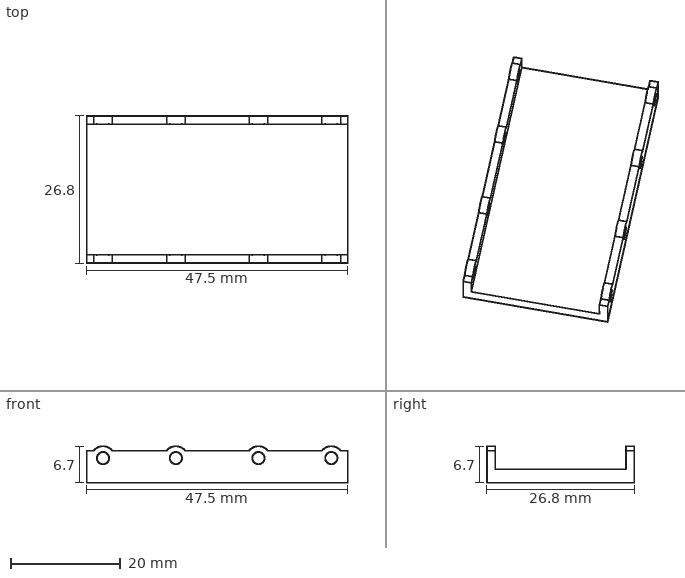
import cadquery as cq

length = 47.5
width = 26.8
height = 6.7

base_thickness = 2.5
wall_thickness = 1.5
wall_top = 5.9

hole_diameter = 2.2
lug_radius = 2.2
hole_height = height - lug_radius
end_hole_inset = 3.0
end_to_inner_hole = 13.25

outer_hole_x = length / 2 - end_hole_inset
inner_hole_x = outer_hole_x - end_to_inner_hole
hole_positions = [
    (x, hole_height) for x in (-outer_hole_x, -inner_hole_x, inner_hole_x, outer_hole_x)
]


def make_base():
    """Flat plate resting on Z = 0, centred in X and Y."""
    return cq.Workplane("XY").box(length, width, base_thickness, centered=(True, True, False))


def make_wall(outer_y, inner_y):
    """Long wall between two Y positions, with lugs rising above its top edge and holes through it."""
    plane = cq.Workplane("XZ", origin=(0, outer_y, 0))
    depth = outer_y - inner_y
    wall = (
        plane.center(0, (base_thickness + wall_top) / 2)
        .rect(length, wall_top - base_thickness)
        .extrude(depth)
    )
    lugs = plane.pushPoints(hole_positions).circle(lug_radius).extrude(depth)
    holes = plane.pushPoints(hole_positions).circle(hole_diameter / 2).extrude(depth)
    return wall.union(lugs).cut(holes)


front_wall = make_wall(-width / 2, -width / 2 + wall_thickness)
back_wall = make_wall(width / 2, width / 2 - wall_thickness)

result = make_base().union(front_wall).union(back_wall)